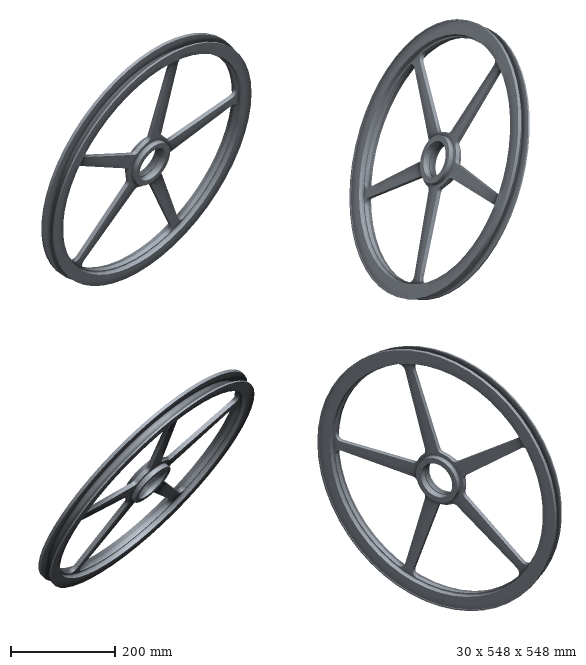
import cadquery as cq
import math

wheel_width = 30.0
outer_radius = 548 / 2

flange_1_width = 6.5
flange_2_width = 3.5
face_recess_radius = 542.0 / 2
face_recess_depth = 1.5
flange_2_radius = 540.0 / 2
drum_radius = 500.0 / 2
rim_inner_radius = 490.0 / 2
root_fillet = 1.0

plate_thickness = 9.0
plate_start = (face_recess_depth + wheel_width - plate_thickness) / 2
plate_opening_radius = 241.0
plate_hub_radius = 56.0
spoke_count = 5
spoke_tip_half_width = 9.5
spoke_root_half_width = 15.5
tip_fillet = 13.0
hub_fillet = 11.0

hub_radius = 95.0 / 2
bore_radius = 72.0 / 2
groove_radius = 75.0 / 2
groove_width = 2.0


def disc(radius, start, width):
    """Solid disc about the X axis."""
    return cq.Workplane("YZ", origin=(start, 0, 0)).circle(radius).extrude(width)


def axis_distance(edge):
    """Distance from the X axis to the middle of an edge."""
    center = edge.Center()
    return math.hypot(center.y, center.z)


def make_rim():
    """Revolve the flanged rim section about the X axis."""
    flange_2_start = wheel_width - flange_2_width
    section = (
        cq.Workplane("XY")
        .moveTo(face_recess_depth, rim_inner_radius)
        .lineTo(face_recess_depth, face_recess_radius)
        .lineTo(0, face_recess_radius)
        .lineTo(0, outer_radius)
        .lineTo(flange_1_width, outer_radius)
        .lineTo(flange_1_width, drum_radius + root_fillet)
        .radiusArc((flange_1_width + root_fillet, drum_radius), -root_fillet)
        .lineTo(flange_2_start, drum_radius)
        .lineTo(flange_2_start, flange_2_radius)
        .lineTo(wheel_width, flange_2_radius)
        .lineTo(wheel_width, rim_inner_radius)
        .close()
    )
    return section.revolve(360, (0, 0, 0), (1, 0, 0))


def make_spokes():
    """Tapered spokes, evenly spaced, the first one pointing to +Y."""
    spoke = (
        cq.Workplane("YZ", origin=(plate_start, 0, 0))
        .moveTo(plate_hub_radius, -spoke_root_half_width)
        .lineTo(plate_opening_radius, -spoke_tip_half_width)
        .lineTo(rim_inner_radius, -spoke_tip_half_width)
        .lineTo(rim_inner_radius, spoke_tip_half_width)
        .lineTo(plate_opening_radius, spoke_tip_half_width)
        .lineTo(plate_hub_radius, spoke_root_half_width)
        .lineTo(0, spoke_root_half_width)
        .lineTo(0, -spoke_root_half_width)
        .close()
        .extrude(plate_thickness)
    )
    spokes = spoke
    for index in range(1, spoke_count):
        angle = index * 360 / spoke_count
        spokes = spokes.union(spoke.rotate((0, 0, 0), (1, 0, 0), angle))
    return spokes


def make_spider():
    """Plate of constant thickness with a rounded window between each pair of spokes."""
    windows = (
        disc(plate_opening_radius, plate_start, plate_thickness)
        .cut(disc(plate_hub_radius, plate_start, plate_thickness))
        .cut(make_spokes())
    )
    corners = windows.edges("|X").vals()
    middle_radius = (plate_hub_radius + plate_opening_radius) / 2
    hub_corners = [edge for edge in corners if axis_distance(edge) < middle_radius]
    windows = windows.newObject(hub_corners).fillet(hub_fillet)
    tip_corners = [edge for edge in windows.edges("|X").vals() if axis_distance(edge) > middle_radius]
    windows = windows.newObject(tip_corners).fillet(tip_fillet)
    plate_radius = (rim_inner_radius + drum_radius) / 2
    return disc(plate_radius, plate_start, plate_thickness).cut(windows)


def cut_bore(wheel):
    """Through bore with a shallow groove halfway along the hub."""
    groove_start = (face_recess_depth + wheel_width - groove_width) / 2
    wheel = wheel.cut(disc(bore_radius, 0, wheel_width))
    return wheel.cut(disc(groove_radius, groove_start, groove_width))


def round_plate_roots(wheel):
    """Fillet the corners where the plate faces meet the hub and the rim."""
    plate_slab = cq.selectors.BoxSelector(
        (plate_start - root_fillet, -outer_radius, -outer_radius),
        (plate_start + plate_thickness + root_fillet, outer_radius, outer_radius),
        boundingbox=True,
    )
    roots = []
    for edge in wheel.edges(plate_slab).edges("%CIRCLE").vals():
        for radius in (hub_radius, rim_inner_radius):
            if math.isclose(edge.radius(), radius, abs_tol=0.05):
                roots.append(edge)
    return wheel.newObject(roots).fillet(root_fillet)


hub = disc(hub_radius, face_recess_depth, wheel_width - face_recess_depth)
wheel = make_rim().union(make_spider()).union(hub)
result = round_plate_roots(cut_bore(wheel))